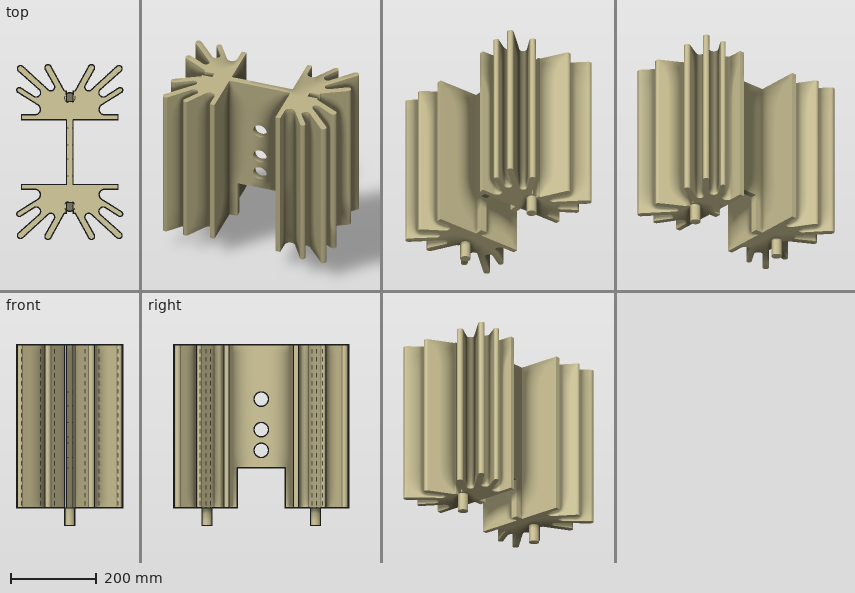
import cadquery as cq
import math

overall_width = 246.83
overall_depth = 407.05
housing_height = 380.0
pin_length = 41.0

web_thickness = 15.5
web_notch_width = 111.5
web_notch_height = 93.0
web_hole_diameter = 33.0
web_hole_heights = [134.0, 182.0, 253.0]

flange_half_width = 112.5
flange_inner_y = 75.0
flange_outer_y = 86.75

slot_width = web_thickness
slot_floor_y = 117.5
crown_y = 142.5
crown_half_width = 12.75

pin_diameter = 24.0
pin_center_y = 126.25

reach_x = overall_width / 2
reach_y = overall_depth / 2
steep_tip_radius = 7.5
middle_tip_radius = steep_tip_radius
low_tip_radius = 6.25
upper_valley_radius = 8.75
lower_valley_radius = 10.0
flange_valley_radius = 12.5

steep_tip = (50.6, reach_y - steep_tip_radius, steep_tip_radius)
upper_valley = (44.1, 151.25, upper_valley_radius)
middle_tip = (114.5, 193.9, middle_tip_radius)
lower_valley = (78.0, 138.0, lower_valley_radius)
low_tip = (reach_x - low_tip_radius, 143.9, low_tip_radius)
flange_valley = (81.0, flange_outer_y + flange_valley_radius, flange_valley_radius)


def tangent_flank(start, end, start_is_tip):
    """Ends of the fin flank that touches a tip on one side and a valley on the other."""
    start_x, start_y, start_radius = start
    end_x, end_y, end_radius = end
    side = 1 if start_is_tip else -1
    distance = math.hypot(end_x - start_x, end_y - start_y)
    heading = math.atan2(end_y - start_y, end_x - start_x)
    tilt = math.asin(side * (start_radius + end_radius) / distance)
    normal = heading + math.pi / 2 - tilt
    normal_x = side * math.cos(normal)
    normal_y = side * math.sin(normal)
    flank_start = (start_x + start_radius * normal_x, start_y + start_radius * normal_y)
    flank_end = (end_x - end_radius * normal_x, end_y - end_radius * normal_y)
    return flank_start, flank_end


def arc_middle(circle, arc_start, arc_end, is_tip):
    """Middle of an arc, which lies left of its chord on a tip and right of it in a valley."""
    x, y, radius = circle
    side = 1 if is_tip else -1
    chord_x = arc_end[0] - arc_start[0]
    chord_y = arc_end[1] - arc_start[1]
    reach = side * radius / math.hypot(chord_x, chord_y)
    return (x - reach * chord_y, y + reach * chord_x)


def make_half_end():
    """The +X half of the finned end on the +Y side, with its half of the slot."""
    crown_corner = (crown_half_width, crown_y)
    rounds = [steep_tip, upper_valley, middle_tip, lower_valley, low_tip, flange_valley]

    outline = (
        cq.Workplane("XY")
        .moveTo(0, flange_inner_y)
        .lineTo(0, slot_floor_y)
        .lineTo(slot_width / 2, slot_floor_y)
        .lineTo(slot_width / 2, crown_y)
        .lineTo(*crown_corner)
    )

    corner_valley = (*crown_corner, 0)
    _, arc_start = tangent_flank(corner_valley, steep_tip, False)
    outline = outline.lineTo(*arc_start)
    is_tip = True
    for current, following in zip(rounds, rounds[1:]):
        arc_end, next_start = tangent_flank(current, following, is_tip)
        outline = outline.threePointArc(arc_middle(current, arc_start, arc_end, is_tip), arc_end)
        outline = outline.lineTo(*next_start)
        arc_start = next_start
        is_tip = not is_tip

    valley_foot = (flange_valley[0], flange_outer_y)
    valley_middle = arc_middle(flange_valley, arc_start, valley_foot, False)
    outline = outline.threePointArc(valley_middle, valley_foot)
    return (
        outline
        .lineTo(flange_half_width, flange_outer_y)
        .lineTo(flange_half_width, flange_inner_y)
        .close()
        .extrude(housing_height)
    )


def make_housing():
    """Web with a mirrored finned end on each side, notched and drilled along X."""
    half_end = make_half_end()
    finned_end = half_end.union(half_end.mirror("YZ"))
    web = cq.Workplane("XY").rect(web_thickness, 2 * flange_inner_y).extrude(housing_height)
    body = web.union(finned_end).union(finned_end.mirror("XZ"))

    notch = cq.Workplane("XY").rect(web_thickness, web_notch_width).extrude(web_notch_height)
    holes = (
        cq.Workplane("YZ")
        .pushPoints([(0, height) for height in web_hole_heights])
        .circle(web_hole_diameter / 2)
        .extrude(web_thickness / 2, both=True)
    )
    return body.cut(notch).cut(holes)


def make_pin(center_y):
    """Round pin hanging from the underside of the housing."""
    return cq.Workplane("XY").center(0, center_y).circle(pin_diameter / 2).extrude(-pin_length)


housing = make_housing()
pins = [make_pin(side * pin_center_y) for side in (-1, 1)]

result = cq.Compound.makeCompound([housing.val(), *[pin.val() for pin in pins]])